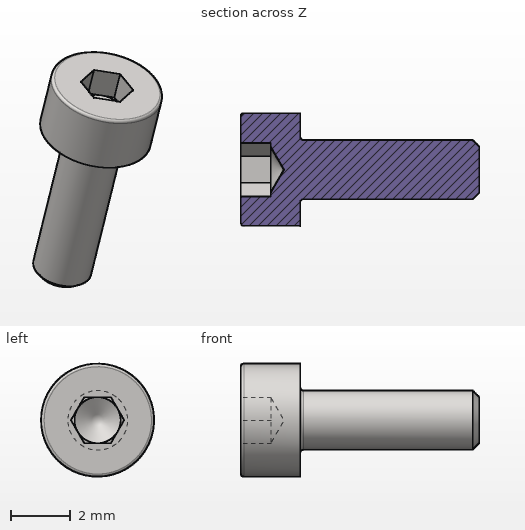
import cadquery as cq
import math

HEAD_DIAMETER = 3.8
HEAD_LENGTH = 2.0
HEAD_EDGE_RADIUS = 0.1

SHANK_DIAMETER = 2.0
SHANK_LENGTH = 6.0
TIP_CHAMFER = 0.225
NECK_FILLET_RADIUS = 0.1

SOCKET_SIDES = 6
SOCKET_ACROSS_FLATS = 1.545
SOCKET_DEPTH = 1.0
DRILL_DIAMETER = SOCKET_ACROSS_FLATS
DRILL_POINT_ANGLE = 120.0


def make_head():
    """Cylindrical head with a rounded outer edge on its socket face."""
    head = cq.Workplane("YZ").circle(HEAD_DIAMETER / 2).extrude(-HEAD_LENGTH)
    return head.faces("<X").edges().fillet(HEAD_EDGE_RADIUS)


def make_shank():
    """Plain shank with a chamfered tip."""
    shank = cq.Workplane("YZ").circle(SHANK_DIAMETER / 2).extrude(SHANK_LENGTH)
    return shank.faces(">X").edges().chamfer(TIP_CHAMFER)


def make_neck():
    """Ring with a concave fillet joining the shank to the underside of the head."""
    shank_radius = SHANK_DIAMETER / 2
    flared_radius = shank_radius + NECK_FILLET_RADIUS
    arc_offset = NECK_FILLET_RADIUS * (1 - math.sqrt(0.5))
    return (
        cq.Workplane("XY")
        .lineTo(0, flared_radius)
        .threePointArc(
            (arc_offset, shank_radius + arc_offset),
            (NECK_FILLET_RADIUS, shank_radius),
        )
        .lineTo(NECK_FILLET_RADIUS, 0)
        .close()
        .revolve(360, (0, 0, 0), (1, 0, 0))
    )


def make_socket():
    """Hexagonal recess with two flats facing +/-Z, ending in a conical drill point."""
    across_corners = SOCKET_ACROSS_FLATS / math.cos(math.pi / SOCKET_SIDES)
    hexagon = (
        cq.Workplane("YZ", origin=(-HEAD_LENGTH, 0, 0))
        .polygon(SOCKET_SIDES, across_corners)
        .extrude(SOCKET_DEPTH)
    )
    drill_radius = DRILL_DIAMETER / 2
    point_depth = drill_radius / math.tan(math.radians(DRILL_POINT_ANGLE / 2))
    floor_center = cq.Vector(SOCKET_DEPTH - HEAD_LENGTH, 0, 0)
    point = cq.Solid.makeCone(drill_radius, 0, point_depth, floor_center, cq.Vector(1, 0, 0))
    return hexagon.union(cq.Workplane(point))


result = make_head().union(make_shank()).union(make_neck()).cut(make_socket())